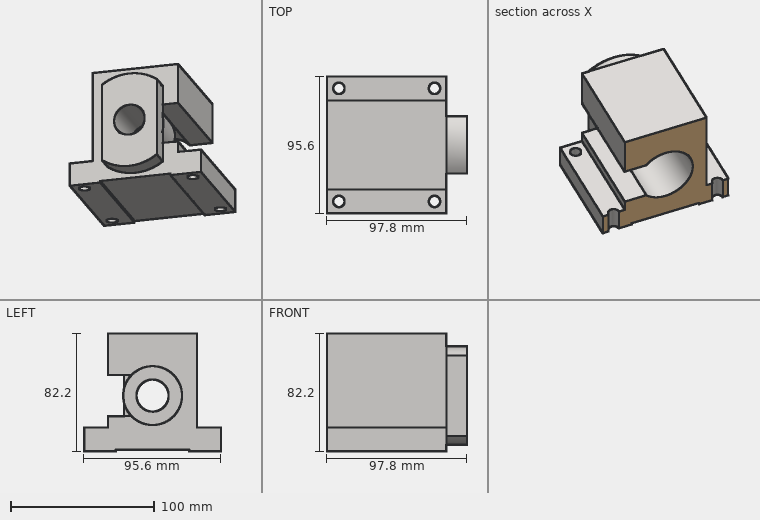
import cadquery as cq
import math

total_length = 97.78
housing_length = 83.335
base_width = 95.56
base_height = 16.67
total_height = 82.23
block_width = 62.22

mount_hole_diameter = 7.78
mount_hole_inset = 8.33

relief_width = 51.11
relief_depth = 1.11

bore_diameter = 41.11
bore_height = 38.89
slot_height = 28.6

flange_thickness = total_length - housing_length
flange_diameter = 68.89
flange_width = 40.0
nut_body_length = 28.0
nut_hole_diameter = 22.22


def box_from_x(start, length, width, bottom, height):
    """Box centred on Y, starting at the given X and bottom Z."""
    box = cq.Workplane("XY").box(length, width, height, centered=(False, True, False))
    return box.translate((start, 0, bottom))


def cylinder_along_x(start, length, diameter):
    """Cylinder on the bore axis, starting at the given X."""
    return cq.Workplane("YZ", origin=(start, 0, bore_height)).circle(diameter / 2).extrude(length)


def make_base():
    base = box_from_x(0, housing_length, base_width, 0, base_height)
    base = base.cut(box_from_x(0, housing_length, relief_width, 0, relief_depth))
    hole_spacing_x = housing_length - 2 * mount_hole_inset
    hole_spacing_y = base_width - 2 * mount_hole_inset
    holes = (
        cq.Workplane("XY")
        .center(housing_length / 2, 0)
        .rect(hole_spacing_x, hole_spacing_y, forConstruction=True)
        .vertices()
        .circle(mount_hole_diameter / 2)
        .extrude(base_height)
    )
    return base.cut(holes)


def make_housing():
    block = box_from_x(0, housing_length, block_width, base_height, total_height - base_height)
    bore = cylinder_along_x(0, housing_length, bore_diameter)
    slot_bottom = bore_height - slot_height / 2
    slot = box_from_x(0, housing_length, block_width / 2, slot_bottom, slot_height)
    slot = slot.translate((0, block_width / 4, 0))
    return make_base().union(block).cut(bore).cut(slot)


def make_nut():
    """Round body inside the bore and an outer flange with two flat sides."""
    half_width = flange_width / 2
    flange_radius = flange_diameter / 2
    flat_half_height = math.sqrt(flange_radius**2 - half_width**2)
    flange = (
        cq.Workplane("YZ", origin=(housing_length, 0, bore_height))
        .moveTo(-half_width, -flat_half_height)
        .threePointArc((0, -flange_radius), (half_width, -flat_half_height))
        .lineTo(half_width, flat_half_height)
        .threePointArc((0, flange_radius), (-half_width, flat_half_height))
        .close()
        .extrude(flange_thickness)
    )
    body_start = housing_length - nut_body_length
    body = cylinder_along_x(body_start, nut_body_length, bore_diameter)
    hole = cylinder_along_x(body_start, total_length - body_start, nut_hole_diameter)
    return flange.union(body).cut(hole)


result = make_housing().union(make_nut())